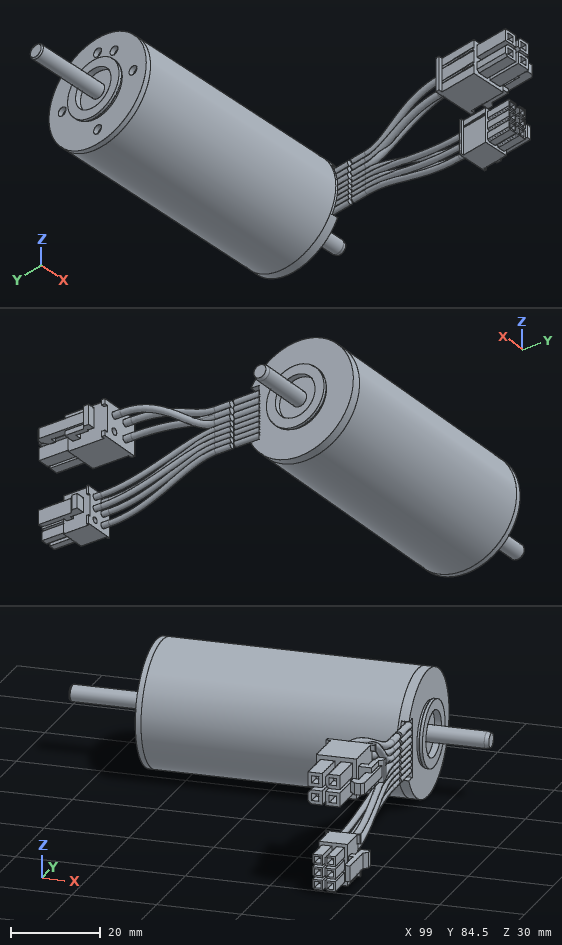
import cadquery as cq
import math

motor_diameter = 30.0
motor_radius = motor_diameter / 2
overall_depth = 84.5
shaft_length = 99.0
shaft_radius = 2.0
shaft_chamfer_depth = 0.3
front_chamfer_length = 0.4
rear_chamfer_length = 1.0

motor_front = 20.1
motor_rear = 84.1
flange_thickness = 1.4
cap_thickness = 2.4
housing_front = motor_front + flange_thickness
housing_rear = motor_rear - cap_thickness

boss_radius = 7.9
boss_height = 1.4
boss_groove_radius = 7.6
boss_groove_width = 0.6
recess_radius = 5.4
recess_depth = 1.6

mount_hole_diameter = 2.4
mount_circle_radius = 10.9
extra_hole_radius = 10.1
extra_hole_angle = 60.0

cap_pin_hole_diameter = 1.2
cap_pin_hole_depth = 3.0
cap_pin_hole_angle = 45.0

power_wire_diameter = 1.8
signal_wire_diameter = 1.5
power_wire_count = 3
signal_wire_count = 5
wire_overlap = 0.06
cable_x = 83.2
cable_top = 6.3
cable_inner_end = -10.9
notch_clearance = 0.8
stub_end = -18.0
harness_start = -19.0
harness_split = -23.3

start_handle = 0.28
power_end_handle = 0.5
signal_end_handle = 0.4

connector_x = 83.0
connector_front = motor_radius - overall_depth
bore_depth = 4.0
contact_setback = 2.0

power_z = 10.1
power_rear = -50.0
power_body_front = -60.8
power_width = 9.5
power_height = 9.6
power_rim_thickness = 1.0
power_rim_overhang = 1.0
power_rim_tab = 1.4
power_pitch = 4.2
power_tower = 3.4
power_tower_chamfer = 0.7
power_socket = 1.7
power_contact_diameter = 1.0
power_straight = 2.2
power_rib_width = 0.7
power_rib_height = 0.3

power_lever_width = 5.2
power_lever_rear = -52.3
power_lever_inner_x = 89.4
power_lever_thickness = 1.4
power_head_step = 0.4
power_head_length = 1.4
power_head_taper = 0.8
power_head_outer_x = 91.8
power_bridge_rear = -57.4
power_bridge_front = -59.5
power_arm_width = 2.8
power_arm_rear = -54.0
power_arm_outer_x = 91.4
power_hook_inner_x = 87.9
power_hook_rear = -64.2
power_hook_front = -66.9
power_hook_ramp = 1.4
power_hook_bevel = 0.7

signal_z = -9.7
signal_rear = -55.7
signal_body_front = -63.1
signal_width = 6.7
signal_height = 9.9
signal_rim_thickness = 0.5
signal_rim_overhang = 0.7
signal_rim_tab = 2.2
signal_pitch = 3.0
signal_tower = 2.4
signal_tower_chamfer = 0.5
signal_socket = 1.5
signal_contact_diameter = 0.8
signal_straight = 2.1
signal_rib_width = 0.4
signal_rib_height = 0.3
signal_rib_z = 3.0

signal_lever_width = 3.8
signal_lever_rear = -56.9
signal_lever_front = -68.3
signal_lever_inner_x = 87.3
signal_lever_thickness = 1.4
signal_head_height = 1.0
signal_head_length = 1.4
signal_bridge_rear = -60.4
signal_bridge_front = -62.2
signal_tip_bevel = 0.3
signal_tip_length = 1.0

wire_diameters = [power_wire_diameter] * power_wire_count + [signal_wire_diameter] * signal_wire_count
wire_heights = []
wire_top = cable_top
for diameter in wire_diameters:
    wire_heights.append(wire_top - diameter / 2)
    wire_top -= diameter - wire_overlap
cable_bottom = wire_top - wire_overlap


def box(x_range, y_range, z_range):
    """Axis-aligned block between the given limits."""
    (x0, x1), (y0, y1), (z0, z1) = x_range, y_range, z_range
    return cq.Workplane("XY").box(x1 - x0, y1 - y0, z1 - z0, centered=False).translate((x0, y0, z0))


def turned(profile):
    """Solid turned about the X axis from (x, radius) points."""
    outline = cq.Workplane("XY").polyline([(x, -radius) for x, radius in profile]).close()
    return outline.revolve(360, (0, 0, 0), (1, 0, 0))


def make_housing():
    """Cylinder with a close bore for the shaft."""
    return turned(
        [
            (housing_front, shaft_radius),
            (housing_front, motor_radius),
            (housing_rear, motor_radius),
            (housing_rear, shaft_radius),
        ]
    )


def make_shaft():
    """Round shaft chamfered at both ends."""
    tip_radius = shaft_radius - shaft_chamfer_depth
    return turned(
        [
            (0, 0),
            (0, tip_radius),
            (front_chamfer_length, shaft_radius),
            (shaft_length - rear_chamfer_length, shaft_radius),
            (shaft_length, tip_radius),
            (shaft_length, 0),
        ]
    )


def make_end_plate(inner, outer, boss_end):
    """End plate with a grooved centring boss and a round recess in the boss."""
    outward = math.copysign(1, boss_end - outer)
    recess_floor = boss_end - outward * recess_depth
    groove_end = outer + outward * boss_groove_width
    return turned(
        [
            (inner, shaft_radius),
            (inner, motor_radius),
            (outer, motor_radius),
            (outer, boss_groove_radius),
            (groove_end, boss_groove_radius),
            (groove_end, boss_radius),
            (boss_end, boss_radius),
            (boss_end, recess_radius),
            (recess_floor, recess_radius),
            (recess_floor, shaft_radius),
        ]
    )


def make_flange():
    """Front flange with four mounting holes and one extra hole."""
    flange = make_end_plate(housing_front, motor_front, motor_front - boss_height)
    extra = math.radians(extra_hole_angle)
    centres = [
        (mount_circle_radius, 0),
        (-mount_circle_radius, 0),
        (0, mount_circle_radius),
        (0, -mount_circle_radius),
        (-extra_hole_radius * math.cos(extra), extra_hole_radius * math.sin(extra)),
    ]
    holes = cq.Workplane("YZ", origin=(motor_front, 0, 0)).pushPoints(centres)
    return flange.cut(holes.circle(mount_hole_diameter / 2).extrude(flange_thickness))


def make_rear_cap():
    """Rear cap with a notch for the cable and a radial pin hole."""
    cap = make_end_plate(housing_rear, motor_rear, motor_rear + boss_height)
    wire_radius = power_wire_diameter / 2
    notch = box(
        (cable_x - wire_radius, motor_rear),
        (-motor_radius, cable_inner_end),
        (cable_bottom - notch_clearance, cable_top + notch_clearance),
    )
    angle = math.radians(cap_pin_hole_angle)
    outward = cq.Vector(0, math.cos(angle), math.sin(angle))
    start = cq.Vector((housing_rear + motor_rear) / 2, 0, 0) + outward * motor_radius
    pin_hole = cq.Solid.makeCylinder(cap_pin_hole_diameter / 2, cap_pin_hole_depth, start, outward * -1)
    return cap.cut(notch).cut(cq.Workplane(pin_hole))


def straight_wire(x, z, diameter, y_start, y_end):
    """Round rod running toward -Y."""
    return cq.Workplane("XZ", origin=(x, y_start, z)).circle(diameter / 2).extrude(y_start - y_end)


def make_cable(y_start, y_end):
    """Flat cable of parallel joined wires."""
    cable = cq.Workplane("XY")
    for diameter, z in zip(wire_diameters, wire_heights):
        cable = cable.union(straight_wire(cable_x, z, diameter, y_start, y_end))
    return cable


def bent_wire(z_start, x_end, y_end, z_end, end_handle, diameter):
    """Wire that leaves the cable and reaches its contact along a smooth S-curve."""
    run = harness_split - y_end
    curve = cq.Edge.makeBezier(
        [
            cq.Vector(cable_x, harness_split, z_start),
            cq.Vector(cable_x, harness_split - start_handle * run, z_start),
            cq.Vector(x_end, y_end + end_handle * run, z_end),
            cq.Vector(x_end, y_end, z_end),
        ]
    )
    section = cq.Workplane("XZ", origin=(cable_x, harness_split, z_start)).circle(diameter / 2)
    return section.sweep(cq.Workplane(cq.Wire.assembleEdges([curve])))


def contact_grid(centre_z, pitch, rows):
    """Contact centres by row from the top, -X side first in each row."""
    top = centre_z + pitch * (rows - 1) / 2
    return [[(connector_x + side * pitch / 2, top - row * pitch) for side in (-1, 1)] for row in range(rows)]


power_grid = contact_grid(power_z, power_pitch, 2)
signal_grid = contact_grid(signal_z, signal_pitch, 3)

power_keys = [["", "<>"], ["<>", ""]]
signal_keys = [["<", ">"], ["<", "<"], ["<", "<"]]

power_contacts = [power_grid[0][0], power_grid[1][0], power_grid[0][1]]
signal_contacts = [
    signal_grid[0][1],
    signal_grid[0][0],
    signal_grid[1][1],
    signal_grid[1][0],
    signal_grid[2][0],
]


def make_harness():
    """Second length of cable with its wires spread out and ending in contact pins."""
    harness = make_cable(harness_start, harness_split)
    power = (power_rear, power_straight, power_end_handle, power_contact_diameter)
    signal = (signal_rear, signal_straight, signal_end_handle, signal_contact_diameter)
    contacts = power_contacts + signal_contacts
    fittings = [power] * power_wire_count + [signal] * signal_wire_count
    for diameter, z_start, (x, z), fitting in zip(wire_diameters, wire_heights, contacts, fittings):
        rear, straight, end_handle, contact_diameter = fitting
        bend_end = rear + straight
        bore_end = rear - bore_depth
        bend = bent_wire(z_start, x, bend_end, z, end_handle, diameter)
        tail = straight_wire(x, z, diameter, bend_end, bore_end)
        contact = straight_wire(x, z, contact_diameter, bore_end, connector_front + contact_setback)
        harness = harness.union(bend).union(tail).union(contact)
    return harness


def tower_block(x, z, size, chamfer, corners, y_start):
    """Square contact tower with the named corners of its -X side chamfered."""
    tower = cq.Workplane("XZ", origin=(x, y_start, z)).rect(size, size).extrude(y_start - connector_front)
    for corner in corners:
        tower = tower.edges(f"|Y and <X and {corner}Z").chamfer(chamfer)
    return tower


def contact_cavity(x, z, socket, wire_diameter, rear):
    """Square socket from the front that meets a round wire bore from the rear."""
    bore_end = rear - bore_depth
    bore = straight_wire(x, z, wire_diameter, rear, bore_end)
    opening = cq.Workplane("XZ", origin=(x, bore_end, z)).rect(socket, socket)
    return bore.union(opening.extrude(bore_end - connector_front))


def make_shell(centre_z, width, height, rear, body_front, rim_thickness, rim_overhang, rim_tab):
    """Connector block with a rear rim: full on the -X side, two corner tabs on the +X side."""
    left = connector_x - width / 2
    right = connector_x + width / 2
    bottom = centre_z - height / 2
    top = centre_z + height / 2
    rim_y = (rear - rim_thickness, rear)
    shell = box((left, right), (body_front, rear), (bottom, top))
    shell = shell.union(box((left - rim_overhang, right), rim_y, (bottom, top)))
    for tab_bottom in (bottom, top - rim_tab):
        tab = box((right, right + rim_overhang), rim_y, (tab_bottom, tab_bottom + rim_tab))
        shell = shell.union(tab)
    return shell


def plate(points, centre_z, width):
    """Plate with an (x, y) outline and a width along Z."""
    outline = cq.Workplane("XY", origin=(0, 0, centre_z - width / 2)).polyline(points).close()
    return outline.extrude(width)


def side_rib(left, rear, body_front, height, centre_z, width):
    """Rib on the -X side that rises from nothing at the rear to full height at the front."""
    return plate([(left, rear), (left - height, body_front), (left, body_front)], centre_z, width)


def make_power_latch():
    """Wide lever bridged to the block, with a narrow hooked arm reaching forward."""
    block_side = connector_x + power_width / 2
    lever_outer_x = power_lever_inner_x + power_lever_thickness
    head_inner_x = power_lever_inner_x + power_head_step
    head_front = power_lever_rear - power_head_length
    lever = plate(
        [
            (block_side, power_bridge_rear),
            (power_lever_inner_x, power_bridge_rear),
            (power_lever_inner_x, power_arm_rear),
            (head_inner_x, power_arm_rear),
            (head_inner_x, power_lever_rear),
            (power_head_outer_x, power_lever_rear),
            (power_head_outer_x, head_front),
            (lever_outer_x, head_front - power_head_taper),
            (lever_outer_x, power_bridge_front),
            (block_side, power_bridge_front),
        ],
        power_z,
        power_lever_width,
    )
    arm = plate(
        [
            (power_lever_inner_x, power_arm_rear),
            (power_arm_outer_x, power_arm_rear),
            (power_arm_outer_x, power_hook_front + power_hook_bevel),
            (power_arm_outer_x - power_hook_bevel, power_hook_front),
            (power_hook_inner_x + power_hook_ramp, power_hook_front),
            (power_hook_inner_x, power_hook_front + power_hook_ramp),
            (power_hook_inner_x, power_hook_rear),
            (power_lever_inner_x, power_hook_rear),
        ],
        power_z,
        power_arm_width,
    )
    return lever.union(arm)


def make_signal_latch():
    """Straight lever bridged to the block, with a raised head and a bevelled tip."""
    block_side = connector_x + signal_width / 2
    lever_outer_x = signal_lever_inner_x + signal_lever_thickness
    head_outer_x = lever_outer_x + signal_head_height
    head_front = signal_lever_rear - signal_head_length
    return plate(
        [
            (block_side, signal_bridge_rear),
            (signal_lever_inner_x, signal_bridge_rear),
            (signal_lever_inner_x, signal_lever_rear),
            (head_outer_x, signal_lever_rear),
            (head_outer_x, head_front),
            (lever_outer_x, head_front - signal_head_height),
            (lever_outer_x, signal_lever_front),
            (signal_lever_inner_x + signal_tip_bevel, signal_lever_front),
            (signal_lever_inner_x, signal_lever_front + signal_tip_length),
            (signal_lever_inner_x, signal_bridge_front),
            (block_side, signal_bridge_front),
        ],
        signal_z,
        signal_lever_width,
    )


def make_power_connector():
    """Four-way connector with its latch, side ribs and keyed towers."""
    connector = make_shell(
        power_z,
        power_width,
        power_height,
        power_rear,
        power_body_front,
        power_rim_thickness,
        power_rim_overhang,
        power_rim_tab,
    )
    left = connector_x - power_width / 2
    for rib_z in (power_z - power_pitch / 2, power_z + power_pitch / 2):
        rib = side_rib(left, power_rear, power_body_front, power_rib_height, rib_z, power_rib_width)
        connector = connector.union(rib)
    for row, row_corners in zip(power_grid, power_keys):
        for (x, z), corners in zip(row, row_corners):
            tower = tower_block(x, z, power_tower, power_tower_chamfer, corners, power_body_front)
            cavity = contact_cavity(x, z, power_socket, power_wire_diameter, power_rear)
            connector = connector.union(tower).cut(cavity)
    return connector.union(make_power_latch())


def make_signal_connector():
    """Six-way connector with its latch, side rib and keyed towers."""
    connector = make_shell(
        signal_z,
        signal_width,
        signal_height,
        signal_rear,
        signal_body_front,
        signal_rim_thickness,
        signal_rim_overhang,
        signal_rim_tab,
    )
    left = connector_x - signal_width / 2
    rib_z = signal_z + signal_rib_z
    rib = side_rib(left, signal_rear, signal_body_front, signal_rib_height, rib_z, signal_rib_width)
    connector = connector.union(rib)
    for row, row_corners in zip(signal_grid, signal_keys):
        for (x, z), corners in zip(row, row_corners):
            tower = tower_block(x, z, signal_tower, signal_tower_chamfer, corners, signal_body_front)
            cavity = contact_cavity(x, z, signal_socket, signal_wire_diameter, signal_rear)
            connector = connector.union(tower).cut(cavity)
    return connector.union(make_signal_latch())


shaft = make_shaft()
flange = make_flange()
housing = make_housing()
cable_stub = make_cable(cable_inner_end, stub_end)
rear_cap = make_rear_cap()
harness = make_harness()
power_connector = make_power_connector()
signal_connector = make_signal_connector()

bodies = [shaft, flange, housing, rear_cap, cable_stub, harness, power_connector, signal_connector]
result = cq.Compound.makeCompound([body.solids().val() for body in bodies])